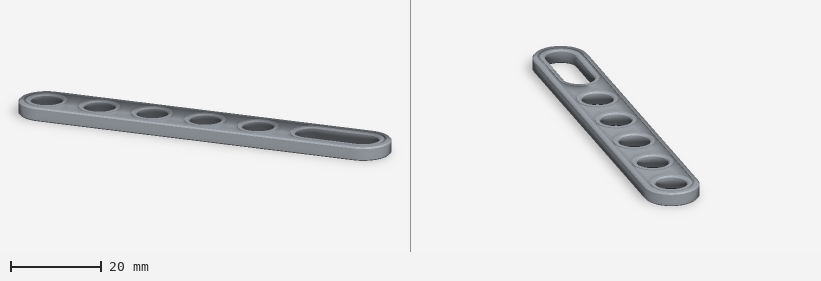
import cadquery as cq

length = 87.5
width = 12.5
thickness = 3.15
edge_chamfer = 0.31

hole_diameter = 7.0
hole_count = 5
slot_start_step = 5
pitch = width
end_center_x = (length - width) / 2
hole_centers = [(-end_center_x + i * pitch, 0) for i in range(hole_count)]
slot_start_x = -end_center_x + slot_start_step * pitch
slot_center_x = (slot_start_x + end_center_x) / 2
slot_travel = end_center_x - slot_start_x

rim_width = 1.1
collar_diameter = 9.2
recess_depth = 0.2
recess_floor_z = thickness / 2 - recess_depth


def make_bar():
    """Round-ended bar centred on the origin, chamfered along both outlines."""
    bar = cq.Workplane("XY").slot2D(length, width).extrude(thickness / 2, both=True)
    return bar.faces("<Z or >Z").chamfer(edge_chamfer)


def opening_prisms(diameter, bottom_z, height):
    """Solids around every hole centre and along the slot, all of one width."""
    base = cq.Workplane("XY", origin=(0, 0, bottom_z))
    cylinders = base.pushPoints(hole_centers).circle(diameter / 2).extrude(height)
    slot = base.center(slot_center_x, 0).slot2D(slot_travel + diameter, diameter).extrude(height)
    return cylinders.add(slot).combine()


def make_recess():
    """Pocket inside the rim that leaves a collar standing around each opening."""
    pocket = (
        cq.Workplane("XY", origin=(0, 0, recess_floor_z))
        .slot2D(length - 2 * rim_width, width - 2 * rim_width)
        .extrude(recess_depth)
    )
    return pocket.cut(opening_prisms(collar_diameter, recess_floor_z, recess_depth))


def chamfer_openings(plate):
    """Break the rims of every opening on the top and bottom faces."""
    inside_outline = cq.selectors.BoxSelector(
        (-length / 2 + rim_width, -collar_diameter / 2, -thickness),
        (length / 2 - rim_width, collar_diameter / 2, thickness),
        boundingbox=True,
    )
    return plate.faces("<Z or >Z").edges(inside_outline).chamfer(edge_chamfer)


plate = make_bar().cut(opening_prisms(hole_diameter, -thickness / 2, thickness))
plate = chamfer_openings(plate)
result = plate.cut(make_recess())